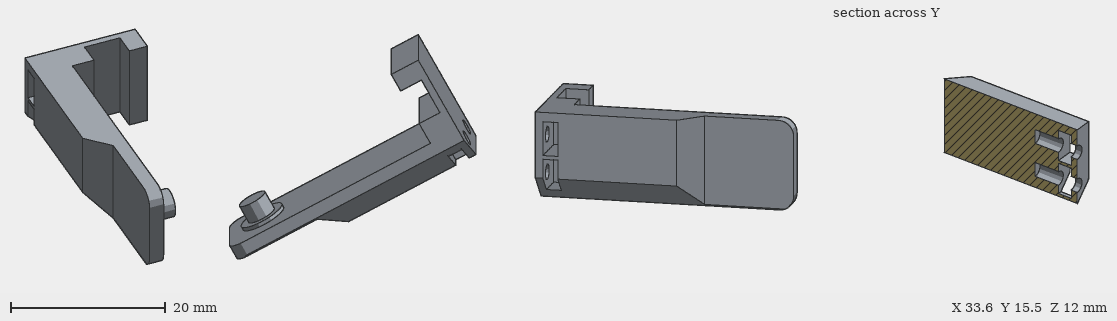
import cadquery as cq

length = 33.58
depth = 15.5
height = 12.0

clamp_length = 4.0
notch_floor = 0.95
notch_front = 8.0
notch_back = 12.95
arm_back = 4.97
plate_front = 3.0
ramp_end = 21.75
ramp_start = ramp_end - plate_front

bottom_chamfer = 3.22
corner_radius = 2.0

pin_x = 28.58
pin_z = height / 2
collar_diameter = 6.0
collar_thickness = 0.5
pin_diameter = 3.8
pin_tip = 8.0

slot_left = 1.0
slot_width = 1.98
slot_height = 4.5
slot_depth = 6.0
screw_diameter = 2.0
screw_y = 2.5
screw_depth = 6.7
lower_screw_z = 3.5
screw_pitch = 5.0


def make_body():
    """Extruded bracket with a bevelled lower front edge and a rounded free end."""
    outline = [
        (0, 0),
        (ramp_start, 0),
        (ramp_end, plate_front),
        (length, plate_front),
        (length, arm_back),
        (clamp_length, arm_back),
        (clamp_length, notch_front),
        (notch_floor, notch_front),
        (notch_floor, notch_back),
        (clamp_length, notch_back),
        (clamp_length, depth),
        (0, depth),
    ]
    body = cq.Workplane("XY").polyline(outline).close().extrude(height)
    body = body.edges("|Y and >X").fillet(corner_radius)
    bevel = (
        cq.Workplane("YZ")
        .polyline([(0, 0), (bottom_chamfer, 0), (0, bottom_chamfer)])
        .close()
        .extrude(length)
    )
    return body.cut(bevel)


def cylinder_along_y(diameter, start, end):
    """Cylinder on the pin axis between two Y positions."""
    origin = cq.Vector(pin_x, start, pin_z)
    return cq.Solid.makeCylinder(diameter / 2, end - start, origin, cq.Vector(0, 1, 0))


def cut_nut_slot(body, center_z):
    """Cut one nut slot from the front and its screw hole from the clamp end."""
    slot = cq.Workplane("XY").box(slot_width, slot_depth, slot_height, centered=(False, False, True))
    slot = slot.translate((slot_left, 0, center_z))
    origin = cq.Vector(0, screw_y, center_z)
    hole = cq.Solid.makeCylinder(screw_diameter / 2, screw_depth, origin, cq.Vector(1, 0, 0))
    return body.cut(slot).cut(hole)


result = make_body()
result = result.union(cylinder_along_y(collar_diameter, plate_front, arm_back + collar_thickness))
result = result.union(cylinder_along_y(pin_diameter, plate_front, pin_tip))
for screw_z in (lower_screw_z, lower_screw_z + screw_pitch):
    result = cut_nut_slot(result, screw_z)